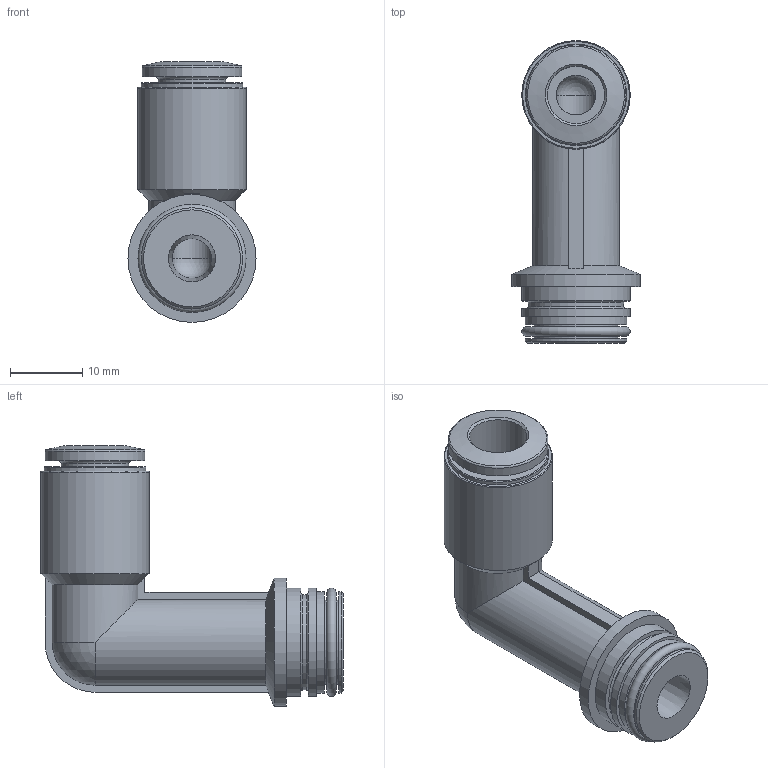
import cadquery as cq
import math


tube_radius = 12.0 / 2
rib_radius = 13.8 / 2
rib_width = 2.1

socket_radius = 15.0 / 2
socket_base_z = 8.0
socket_cone_top_z = socket_base_z + (socket_radius - tube_radius)
socket_top_z = 23.65
socket_edge_round = 0.12
ring_radius = 14.0 / 2
ring_top_z = 24.25
ring_edge_round = 0.12

neck_radius = 9.34 / 2
neck_fillet = 0.4
collet_radius = 13.8 / 2
collet_bottom_z = 25.1
collet_rim_z = 26.6
collet_top_z = 27.2
collet_rim_round = 0.25
tube_bore_radius = 7.94 / 2
mouth_chamfer = 0.28
collet_face_radius = tube_bore_radius + mouth_chamfer
tube_bore_floor_z = socket_cone_top_z

flange_radius = 17.7 / 2
flange_cone_start = 23.6
flange_cone_end = 24.75
flange_end = 26.45
collar_radius = 14.95 / 2
collar_end = 28.45
clip_groove_radius = 13.15 / 2
clip_groove_fillet = 0.25
clip_groove_end = 29.45
second_collar_end = 30.6
nose_radius = 14.0 / 2
seal_groove_radius = 11.6 / 2
seal_groove_start = 31.7
seal_groove_end = 33.65
nose_end = 34.3
nose_chamfer = 0.3

seal_radius = 14.95 / 2
seal_width = 1.3

bore_radius = 5.5 / 2
plug_mouth_radius = 6.5 / 2


def along_plug(body):
    """Turn a body built along +Z so that it points along -Y."""
    return body.rotate((0, 0, 0), (1, 0, 0), 90)


def revolve_about_z(profile):
    """Close a (radius, height) outline and revolve it about the Z axis."""
    return profile.close().revolve(360, (0, 0, 0), (0, 1, 0))


def at_height(z):
    """Start a (radius, height) outline on the Z axis at height z."""
    return cq.Workplane("XZ").moveTo(0, z)


def elbow(radius):
    """Two cylinders of one radius meeting at the origin, with a ball for the outer corner."""
    upright = cq.Workplane("XY").circle(radius).extrude(tube_bore_floor_z)
    level = along_plug(cq.Workplane("XY").circle(radius).extrude(flange_end))
    ball = cq.Workplane("XY").sphere(radius)
    return upright.union(level).union(ball)


def rib():
    """Flat rib in the plane of the elbow, rounded round the outer corner."""
    rib_end_z = socket_cone_top_z
    rib_end_y = -flange_cone_end
    corner_reach = rib_radius * math.sqrt(0.5)
    return (
        cq.Workplane("YZ")
        .moveTo(rib_radius, 0)
        .lineTo(rib_radius, rib_end_z)
        .lineTo(-rib_radius, rib_end_z)
        .lineTo(-rib_radius, rib_radius)
        .lineTo(rib_end_y, rib_radius)
        .lineTo(rib_end_y, -rib_radius)
        .lineTo(0, -rib_radius)
        .threePointArc((corner_reach, -corner_reach), (rib_radius, 0))
        .close()
        .extrude(rib_width / 2, both=True)
    )


def socket():
    """Socket barrel with its cone, top ring, collet neck and coned collet head."""
    cone_angle = math.atan2(collet_top_z - collet_rim_z, collet_radius - collet_face_radius)
    rim_tangent = collet_rim_round * math.tan((math.pi / 2 - cone_angle) / 2)
    rim_round_end = (
        collet_radius - rim_tangent * math.cos(cone_angle),
        collet_rim_z + rim_tangent * math.sin(cone_angle),
    )
    profile = (
        at_height(socket_base_z)
        .lineTo(tube_radius, socket_base_z)
        .lineTo(socket_radius, socket_cone_top_z)
        .lineTo(socket_radius, socket_top_z - socket_edge_round)
        .radiusArc((socket_radius - socket_edge_round, socket_top_z), -socket_edge_round)
        .lineTo(ring_radius, socket_top_z)
        .lineTo(ring_radius, ring_top_z - ring_edge_round)
        .radiusArc((ring_radius - ring_edge_round, ring_top_z), -ring_edge_round)
        .lineTo(neck_radius, ring_top_z)
        .lineTo(neck_radius, collet_bottom_z - neck_fillet)
        .radiusArc((neck_radius + neck_fillet, collet_bottom_z), neck_fillet)
        .lineTo(collet_radius, collet_bottom_z)
        .lineTo(collet_radius, collet_rim_z - rim_tangent)
        .radiusArc(rim_round_end, -collet_rim_round)
        .lineTo(collet_face_radius, collet_top_z)
        .lineTo(0, collet_top_z)
    )
    return revolve_about_z(profile)


def plug():
    """Flange, collars, clip groove, O-ring groove and chamfered nose."""
    clip_fillet_radius = clip_groove_radius + clip_groove_fillet
    profile = (
        at_height(flange_cone_start)
        .lineTo(tube_radius, flange_cone_start)
        .lineTo(flange_radius, flange_cone_end)
        .lineTo(flange_radius, flange_end)
        .lineTo(collar_radius, flange_end)
        .lineTo(collar_radius, collar_end)
        .lineTo(clip_fillet_radius, collar_end)
        .radiusArc((clip_groove_radius, collar_end + clip_groove_fillet), clip_groove_fillet)
        .lineTo(clip_groove_radius, clip_groove_end - clip_groove_fillet)
        .radiusArc((clip_fillet_radius, clip_groove_end), clip_groove_fillet)
        .lineTo(collar_radius, clip_groove_end)
        .lineTo(collar_radius, second_collar_end)
        .lineTo(nose_radius, second_collar_end)
        .lineTo(nose_radius, seal_groove_start)
        .lineTo(seal_groove_radius, seal_groove_start)
        .lineTo(seal_groove_radius, seal_groove_end)
        .lineTo(nose_radius, seal_groove_end)
        .lineTo(nose_radius, nose_end - nose_chamfer)
        .lineTo(nose_radius - nose_chamfer, nose_end)
        .lineTo(0, nose_end)
    )
    return along_plug(revolve_about_z(profile))


def seal():
    """O-ring seated in the plug groove."""
    middle = (seal_groove_start + seal_groove_end) / 2
    near_side = middle - seal_width / 2
    far_side = middle + seal_width / 2
    crest_start_radius = seal_radius - seal_width / 2
    profile = (
        at_height(near_side)
        .lineTo(crest_start_radius, near_side)
        .threePointArc((seal_radius, middle), (crest_start_radius, far_side))
        .lineTo(0, far_side)
    )
    return along_plug(revolve_about_z(profile))


def tube_bore():
    """Stepped hole in the socket, chamfered where it meets the collet face."""
    profile = (
        at_height(tube_bore_floor_z)
        .lineTo(tube_bore_radius, tube_bore_floor_z)
        .lineTo(tube_bore_radius, collet_top_z - mouth_chamfer)
        .lineTo(collet_face_radius, collet_top_z)
        .lineTo(0, collet_top_z)
    )
    return revolve_about_z(profile)


def plug_bore():
    """Tapered hole that widens from the flange to the nose."""
    profile = (
        at_height(flange_end)
        .lineTo(bore_radius, flange_end)
        .lineTo(plug_mouth_radius, nose_end)
        .lineTo(0, nose_end)
    )
    return along_plug(revolve_about_z(profile))


body = elbow(tube_radius).union(rib()).union(socket()).union(plug()).union(seal())
passage = elbow(bore_radius).union(tube_bore()).union(plug_bore())
result = body.cut(passage)